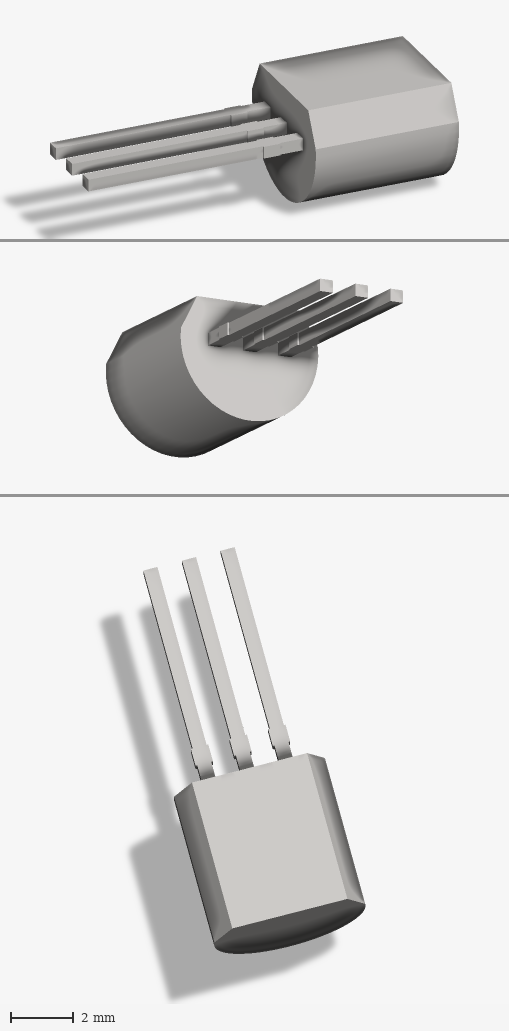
import cadquery as cq
import math

housing_length = 5.0
housing_radius = 2.5
flat_height = 1.38
flat_half_width = 1.9
shoulder_height = 0.25
shoulder_half_width = math.sqrt(housing_radius**2 - shoulder_height**2)

overall_length = 12.5
lead_count = 3
lead_pitch = 1.28
lead_width = 0.46
lead_thickness = 0.41
root_length = 1.5
tail_length = overall_length - housing_length - root_length

collar_width = 0.58
collar_length = 0.58
collar_offset = 0.82


def bar(x, distance, width, length):
    """Bar along -Y, starting at a distance from the housing face at Y = 0."""
    return cq.Workplane("XY").box(width, length, lead_thickness).translate((x, -distance - length / 2, 0))


def make_housing():
    """Housing with its front face at Y = 0 and its round side centred on the Y axis."""
    return (
        cq.Workplane("XZ")
        .moveTo(-flat_half_width, flat_height)
        .lineTo(flat_half_width, flat_height)
        .lineTo(shoulder_half_width, shoulder_height)
        .threePointArc((0, -housing_radius), (-shoulder_half_width, shoulder_height))
        .close()
        .extrude(-housing_length)
    )


def make_lead_root(x):
    """Collared piece that starts at the housing face."""
    collar = bar(x, collar_offset, collar_width, collar_length)
    return bar(x, 0, lead_width, root_length).union(collar)


def make_lead_tail(x):
    """Plain piece that continues the root to the lead tip."""
    return bar(x, root_length, lead_width, tail_length)


lead_positions = [(i - (lead_count - 1) / 2) * lead_pitch for i in range(lead_count)]

housing = make_housing()
lead_roots = [make_lead_root(x) for x in lead_positions]
lead_tails = [make_lead_tail(x) for x in lead_positions]

result = cq.Compound.makeCompound([
    housing.val(),
    *[root.val() for root in lead_roots],
    *[tail.val() for tail in lead_tails],
])